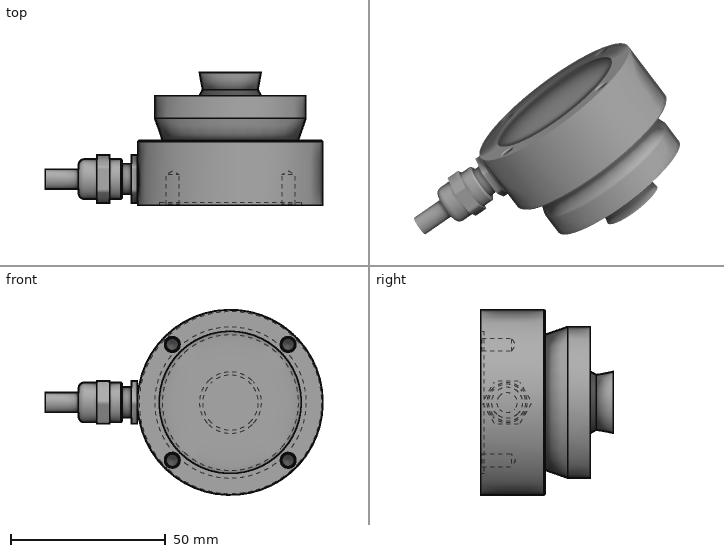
import cadquery as cq
import math

housing_diameter = 60.0
housing_length = 21.0
housing_rear_chamfer = 0.5
recess_diameter = 46.0
recess_depth = 1.0

cone_start_diameter = 44.0
disc_diameter = 49.0
disc_start = 28.2
disc_end = 35.5
button_diameter = 20.0
waist_diameter = 17.9
waist_position = 37.4
overall_length = 43.0

hole_count = 4
hole_circle_diameter = 53.0
first_hole_angle = 45.0
hole_diameter = 4.13
hole_mouth_diameter = 5.0
hole_depth = 10.0
drill_tip_angle = 118.0

gland_y = 8.5
gland_neck_diameter = 10.0
gland_root = 25.0
flange_start = housing_diameter / 2
flange_thickness = 2.0
neck_gap = 2.9
cap_diameter = 13.0
cap_length = 14.2
cap_chamfer = 0.5
cap_fillet = 2.0
cap_hex_offset = 4.1
cap_hex_width = 4.1
hex_sides = 6
hex_across_flats = 13.9
hex_corner_radius = 1.3
cable_diameter = 6.5
cable_end = 59.9

cap_start = flange_start + flange_thickness + neck_gap
cap_end = cap_start + cap_length


def make_housing():
    """Revolve the housing, cone, disc and button as one profile about the Y axis."""
    housing_radius = housing_diameter / 2
    disc_radius = disc_diameter / 2
    button_radius = button_diameter / 2
    profile = (
        cq.Workplane("XY")
        .moveTo(0, recess_depth)
        .lineTo(recess_diameter / 2, recess_depth)
        .lineTo(recess_diameter / 2, 0)
        .lineTo(housing_radius, 0)
        .lineTo(housing_radius, housing_length - housing_rear_chamfer)
        .lineTo(housing_radius - housing_rear_chamfer, housing_length)
        .lineTo(cone_start_diameter / 2, housing_length)
        .lineTo(disc_radius, disc_start)
        .lineTo(disc_radius, disc_end)
        .lineTo(button_radius, disc_end)
        .lineTo(waist_diameter / 2, waist_position)
        .lineTo(button_radius, overall_length)
        .lineTo(0, overall_length)
        .close()
    )
    return profile.revolve(360, (0, 0, 0), (0, 1, 0))


def make_tapped_hole():
    """Drilled hole along +Y with a 45 degree mouth chamfer and a conical bottom."""
    hole_radius = hole_diameter / 2
    mouth_radius = hole_mouth_diameter / 2
    tip_length = hole_radius / math.tan(math.radians(drill_tip_angle / 2))
    profile = (
        cq.Workplane("XY")
        .moveTo(0, 0)
        .lineTo(mouth_radius, 0)
        .lineTo(hole_radius, mouth_radius - hole_radius)
        .lineTo(hole_radius, hole_depth)
        .lineTo(0, hole_depth + tip_length)
        .close()
    )
    return profile.revolve(360, (0, 0, 0), (0, 1, 0))


def gland_plane(distance):
    """Workplane facing -X on the gland axis, at a distance from the housing axis."""
    origin = (-distance, gland_y, 0)
    return cq.Workplane(cq.Plane(origin=origin, xDir=(0, 1, 0), normal=(-1, 0, 0)))


def gland_cylinder(diameter, start, end):
    return gland_plane(start).circle(diameter / 2).extrude(end - start)


def gland_hexagon(start, width):
    """Hexagon with rounded corners and its flats facing +Z and -Z."""
    corner_diameter = hex_across_flats / math.cos(math.pi / hex_sides)
    hexagon = gland_plane(start).polygon(hex_sides, corner_diameter).extrude(width)
    return hexagon.edges("|X").fillet(hex_corner_radius)


def make_cable_gland():
    neck = gland_cylinder(gland_neck_diameter, gland_root, cap_start)
    flange = gland_hexagon(flange_start, flange_thickness)
    cap = gland_cylinder(cap_diameter, cap_start, cap_end)
    cap = cap.faces("<X").edges().fillet(cap_fillet)
    cap = cap.faces(">X").edges().chamfer(cap_chamfer)
    cap_hexagon = gland_hexagon(cap_start + cap_hex_offset, cap_hex_width)
    cable = gland_cylinder(cable_diameter, cap_end, cable_end)
    return neck.union(flange).union(cap).union(cap_hexagon).union(cable)


result = make_housing().union(make_cable_gland())

for index in range(hole_count):
    angle = math.radians(first_hole_angle + index * 360 / hole_count)
    hole_x = hole_circle_diameter / 2 * math.cos(angle)
    hole_z = hole_circle_diameter / 2 * math.sin(angle)
    result = result.cut(make_tapped_hole().translate((hole_x, 0, hole_z)))